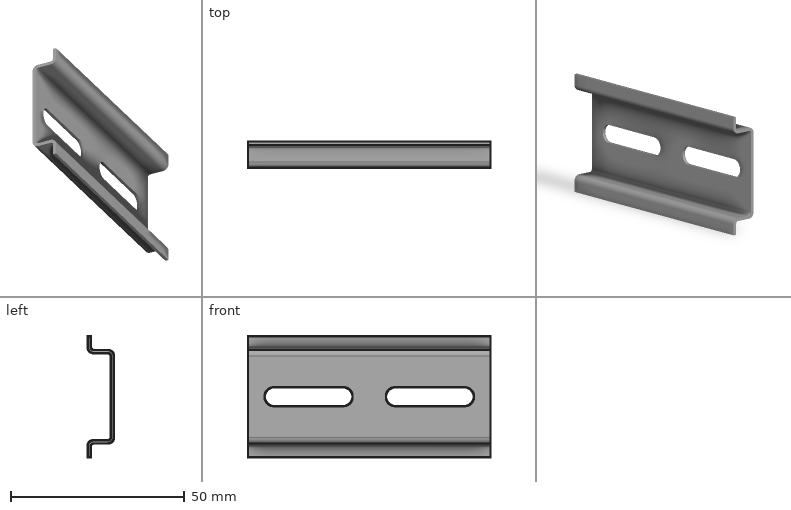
import cadquery as cq

length = 70.0
depth = 7.6
height = 35.0

thickness = 1.0
inner_radius = 0.8
outer_radius = inner_radius + thickness
channel_height = 27.0

slot_length = 25.35
slot_width = 5.4
slot_pitch = length / 2

front = -depth / 2
back = depth / 2
web_outside = channel_height / 2
web_inside = web_outside - thickness
lip_end = height / 2


def rail_half():
    """Upper half of the rail: half the channel face, one web and one lip."""
    face = (
        cq.Workplane("YZ")
        .moveTo(front, 0)
        .lineTo(front, web_outside)
        .lineTo(back - thickness, web_outside)
        .lineTo(back - thickness, lip_end)
        .lineTo(back, lip_end)
        .lineTo(back, web_inside)
        .lineTo(front + thickness, web_inside)
        .lineTo(front + thickness, 0)
        .close()
        .extrude(length / 2, both=True)
    )
    return round_bends(face)


def round_bends(body):
    """Round the outside and inside edge of both bends, keeping the sheet thickness."""
    bends = [
        (front, web_outside, outer_radius),
        (front + thickness, web_inside, inner_radius),
        (back, web_inside, outer_radius),
        (back - thickness, web_outside, inner_radius),
    ]
    for y, z, radius in bends:
        body = body.edges(cq.selectors.NearestToPointSelector((0, y, z))).fillet(radius)
    return body


def mounting_slots():
    """Cutters for the two round-ended slots in the channel face."""
    return (
        cq.Workplane("XZ")
        .rarray(slot_pitch, 0.7, 2, 1)
        .slot2D(slot_length, slot_width)
        .extrude(depth, both=True)
    )


upper_half = rail_half()
rail = upper_half.union(upper_half.mirror("XY")).clean()
result = rail.cut(mounting_slots())